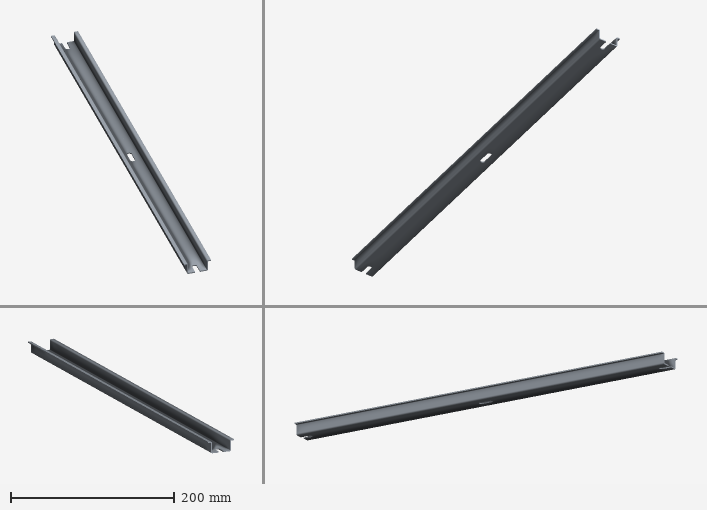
import cadquery as cq

rail_length = 535.0
rail_width = 35.0
rail_height = 15.0

sheet = 1.5
flange_overhang = 3.9
inner_bend = 0.5
outer_bend = inner_bend + sheet

slot_end_radius = 3.1
slot_width = 2 * slot_end_radius
middle_slot_length = 20.0
end_slot_depth = 15.0


def lengthwise_edges(y, z):
    """Selector for the mirrored pair of edges that run along X at (+y, z) and (-y, z)."""
    reach = sheet / 4
    pair = [
        cq.selectors.BoxSelector(
            (-rail_length, side * y - reach, z - reach),
            (rail_length, side * y + reach, z + reach),
        )
        for side in (-1, 1)
    ]
    return pair[0] + pair[1]


def rail_body():
    """Top-hat section of constant sheet thickness, centred on X and Y, floor resting on Z = 0."""
    half_width = rail_width / 2
    half_outer = half_width - flange_overhang
    half_inner = half_outer - sheet
    flange_underside = rail_height - sheet
    right_half = [
        (half_outer, 0),
        (half_outer, flange_underside),
        (half_width, flange_underside),
        (half_width, rail_height),
        (half_inner, rail_height),
        (half_inner, sheet),
    ]
    left_half = [(-y, z) for y, z in reversed(right_half)]
    sharp_body = (
        cq.Workplane("YZ")
        .polyline(right_half + left_half)
        .close()
        .extrude(rail_length / 2, both=True)
    )
    inside_corners = lengthwise_edges(half_inner, sheet) + lengthwise_edges(half_outer, flange_underside)
    outside_corners = lengthwise_edges(half_outer, 0) + lengthwise_edges(half_inner, rail_height)
    return (
        sharp_body
        .edges(inside_corners)
        .fillet(inner_bend)
        .edges(outside_corners)
        .fillet(outer_bend)
    )


def floor_slots():
    """Round-ended slots through the floor: one in the middle and one open at each end."""
    end_centres = [(-rail_length / 2, 0), (rail_length / 2, 0)]
    middle_slot = cq.Workplane("XY").slot2D(middle_slot_length, slot_width).extrude(sheet)
    end_slots = (
        cq.Workplane("XY")
        .pushPoints(end_centres)
        .slot2D(2 * end_slot_depth, slot_width)
        .extrude(sheet)
    )
    return middle_slot.union(end_slots)


result = rail_body().cut(floor_slots())